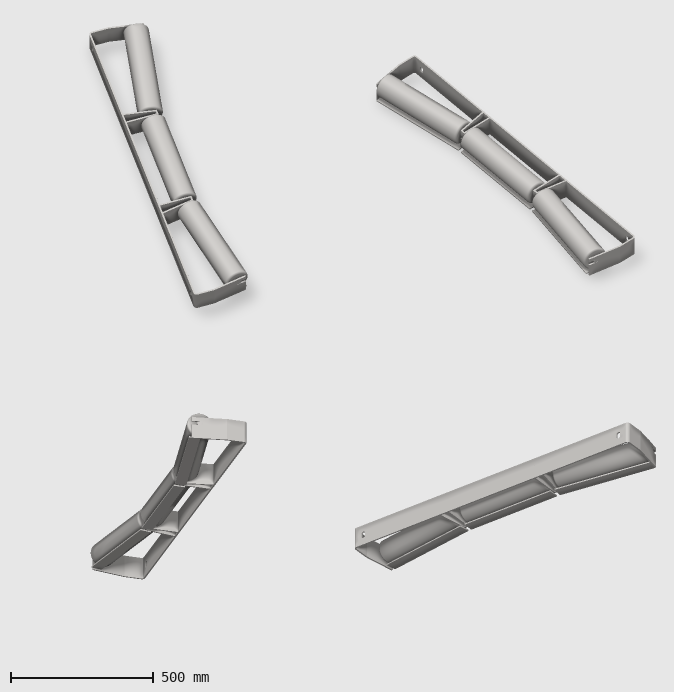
import cadquery as cq
import math


frame_length = 1190.0
strip_width = 80.0
strip_thickness = 6.0
corner_radius = 12.0
arm_bend_y = 74.0
arm_end_y = 196.0
mount_slot_x = 552.0
mount_slot_width = 17.0
mount_slot_length = 25.0

trough_angle = 10.0
forward_tilt = 1.5
centre_y = 101.0
centre_z = 8.0
side_x = 390.0
side_y = 135.0
side_z = 13.0

roller_diameter = 89.0
roller_length = 362.0
roller_rounding = 7.0
plate_spacing = 369.0
axle_diameter = 20.0
axle_flat_width = 14.0

guard_length = 371.0
guard_width = 40.0
guard_thickness = 5.0
guard_gap = 3.8
guard_edge = 38.0
side_guard_shift = 5.0

bracket_top_y = 124.0

axle_length = plate_spacing + 2 * strip_thickness
slope = math.tan(math.radians(trough_angle))
half_length = frame_length / 2
strip_along_x = strip_thickness / math.cos(math.radians(trough_angle))


def place(body, side):
    """Move a body made along X at the origin to the left (-1), centre (0) or right (1) roller."""
    body = body.rotate((0, 0, 0), (0, 1, 0), -side * forward_tilt)
    body = body.rotate((0, 0, 0), (0, 0, 1), side * trough_angle)
    if side == 0:
        return body.translate((0, centre_y, centre_z))
    return body.translate((side * side_x, side_y, side_z))


def flatted_bar(length):
    """Axle bar along X with two flats facing +Z and -Z."""
    bar = cq.Workplane("YZ").circle(axle_diameter / 2).extrude(length / 2, both=True)
    return bar.intersect(cq.Workplane("XY").box(length, axle_diameter, axle_flat_width))


def slot_cutter(end):
    """Slot for one axle end: the axle section carried on in +Y through the plate."""
    reach = roller_diameter
    depth = 2 * strip_thickness
    channel = cq.Workplane("XY").box(depth, reach, axle_flat_width).translate((0, reach / 2, 0))
    cutter = flatted_bar(depth).union(channel)
    return cutter.translate((end * (plate_spacing + strip_thickness) / 2, 0, 0))


def make_frame():
    outer_lean = slope * (arm_end_y - arm_bend_y)
    outer = [
        (-half_length, 0),
        (half_length, 0),
        (half_length, arm_bend_y),
        (half_length - outer_lean, arm_end_y),
        (-half_length + outer_lean, arm_end_y),
        (-half_length, arm_bend_y),
    ]
    inner_x = half_length - strip_thickness
    inner_bend_y = arm_bend_y - (strip_along_x - strip_thickness) / slope
    inner_end_x = half_length - outer_lean - strip_along_x
    inner = [
        (-inner_x, strip_thickness),
        (inner_x, strip_thickness),
        (inner_x, inner_bend_y),
        (inner_end_x, arm_end_y),
        (-inner_end_x, arm_end_y),
        (-inner_x, inner_bend_y),
    ]
    solid = cq.Workplane("XY").polyline(outer).close().extrude(strip_width / 2, both=True)
    solid = solid.edges("|Z and <Y").fillet(corner_radius)
    hollow = cq.Workplane("XY").polyline(inner).close().extrude(strip_width / 2, both=True)
    hollow = hollow.edges("|Z and <Y").fillet(corner_radius - strip_thickness)
    frame = solid.cut(hollow)
    mount_slots = (
        cq.Workplane("XZ")
        .pushPoints([(-mount_slot_x, 0), (mount_slot_x, 0)])
        .slot2D(mount_slot_length, mount_slot_width, 90)
        .extrude(-strip_thickness)
    )
    frame = frame.cut(mount_slots)
    for side in (-1, 1):
        frame = frame.cut(place(slot_cutter(side), side))
    return frame


def make_bracket(side):
    """Upright plate for the centre roller, folded over into a sloping plate for a side roller."""
    upright_x = plate_spacing / 2
    cos_trough = math.cos(math.radians(trough_angle))

    def sloping_x(y):
        return side_x - plate_spacing / 2 / cos_trough - slope * (y - side_y)

    base_y = strip_thickness
    under_y = bracket_top_y - strip_thickness
    outline = [
        (upright_x, base_y),
        (upright_x, bracket_top_y),
        (sloping_x(bracket_top_y), bracket_top_y),
        (sloping_x(base_y), base_y),
        (sloping_x(base_y) - strip_along_x, base_y),
        (sloping_x(under_y) - strip_along_x, under_y),
        (upright_x + strip_thickness, under_y),
        (upright_x + strip_thickness, base_y),
    ]
    bracket = (
        cq.Workplane("XY")
        .polyline([(side * x, y) for x, y in outline])
        .close()
        .extrude(strip_width / 2, both=True)
    )
    bracket = bracket.cut(place(slot_cutter(side), 0))
    return bracket.cut(place(slot_cutter(-side), side))


def make_roller(side):
    shell = cq.Workplane("YZ", origin=(-roller_length / 2, 0, 0))
    shell = shell.circle(roller_diameter / 2).extrude(roller_length)
    shell = shell.faces("<X or >X").edges().fillet(roller_rounding)
    return place(shell.union(flatted_bar(axle_length)), side)


def make_guard(side):
    strip = cq.Workplane("XY").box(guard_length, guard_width, guard_thickness)
    top_z = -roller_diameter / 2 - guard_gap
    middle_y = guard_edge - guard_width / 2
    strip = strip.translate((-side * side_guard_shift, middle_y, top_z - guard_thickness / 2))
    return place(strip, side)


frame = make_frame()
brackets = [make_bracket(side) for side in (-1, 1)]
rollers = [make_roller(side) for side in (-1, 0, 1)]
guards = [make_guard(side) for side in (-1, 0, 1)]

bodies = [frame, *brackets, *rollers, *guards]
result = cq.Compound.makeCompound([body.solids().val() for body in bodies])